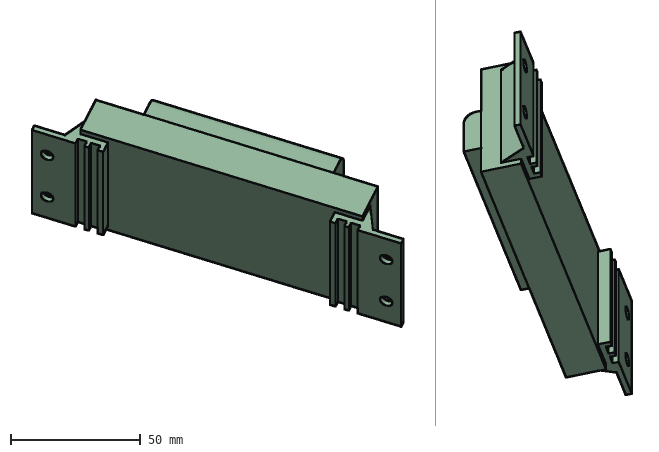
import cadquery as cq

overall_length = 153.4
overall_depth = 33.8
body_height = 55.8

body_length = 117.2
body_front = 5.0
body_depth = 16.1
body_back = body_front + body_depth
block_length = 78.9
block_height = 20.4
block_depth = overall_depth - body_back
block_fillet = 5.0

foot_height = 50.6
flange_thickness = 2.5
wedge_width = 5.4
wedge_top = 13.2
groove_width = 3.7
groove_depth = 2.5
middle_rib_width = 1.8
inner_rib_width = 2.3

hole_diameter = 5.0
hole_edge_distance = 6.3
hole_spacing = foot_height / 2

outer_end = -overall_length / 2
body_end = -body_length / 2
grooved_width = 2 * groove_width + middle_rib_width + inner_rib_width
foot_inner_end = body_end + grooved_width


def make_body():
    return cq.Workplane("XY").box(body_length, body_depth, body_height).translate(
        (0, body_front + body_depth / 2, 0)
    )


def make_rear_block():
    """Block on the back of the body, level with the top of the feet, rounded along its upper rear edge."""
    block = cq.Workplane("XY").box(block_length, block_depth, block_height)
    block = block.edges(">Y and >Z").fillet(block_fillet)
    return block.translate((0, body_back + block_depth / 2, (foot_height - block_height) / 2))


def make_left_foot():
    """Flange with a wedge against the body end and a grooved pad under the body."""
    foot = (
        cq.Workplane("XY")
        .moveTo(outer_end, 0)
        .lineTo(foot_inner_end, 0)
        .lineTo(foot_inner_end, body_front)
        .lineTo(body_end, body_front)
        .lineTo(body_end, wedge_top)
        .lineTo(body_end - wedge_width, flange_thickness)
        .lineTo(outer_end, flange_thickness)
        .close()
        .extrude(foot_height / 2, both=True)
    )
    for groove_start in (body_end, body_end + groove_width + middle_rib_width):
        groove = cq.Workplane("XY").box(groove_width, groove_depth, foot_height).translate(
            (groove_start + groove_width / 2, groove_depth / 2, 0)
        )
        foot = foot.cut(groove)
    holes = (
        cq.Workplane("XZ")
        .center(outer_end + hole_edge_distance, 0)
        .rarray(1.5, hole_spacing, 1, 2)
        .circle(hole_diameter / 2)
        .extrude(-flange_thickness)
    )
    return foot.cut(holes)


left_foot = make_left_foot()
right_foot = left_foot.mirror("YZ")
result = make_body().union(make_rear_block()).union(left_foot).union(right_foot)